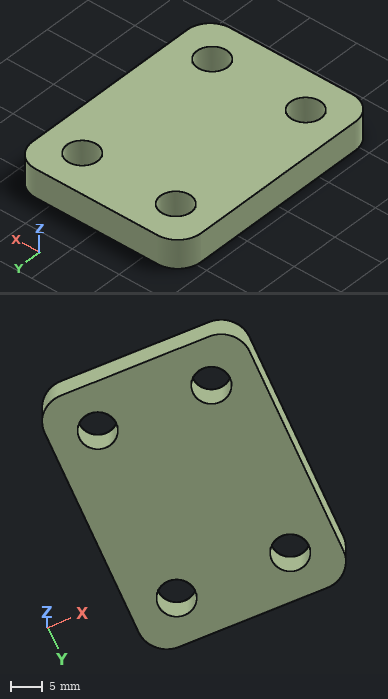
import cadquery as cq

length = 48.0
width = 36.0
thickness = 6.0
corner_radius = 5.0

hole_diameter = 6.5
hole_inset = 8.0
hole_spacing_x = width - 2 * hole_inset
hole_spacing_y = length - 2 * hole_inset

plate = (
    cq.Workplane("XY")
    .box(width, length, thickness, centered=(True, True, False))
    .edges("|Z")
    .fillet(corner_radius)
)

result = (
    plate.faces(">Z")
    .workplane(origin=(0, 0, thickness))
    .rect(hole_spacing_x, hole_spacing_y, forConstruction=True)
    .vertices()
    .hole(hole_diameter)
)